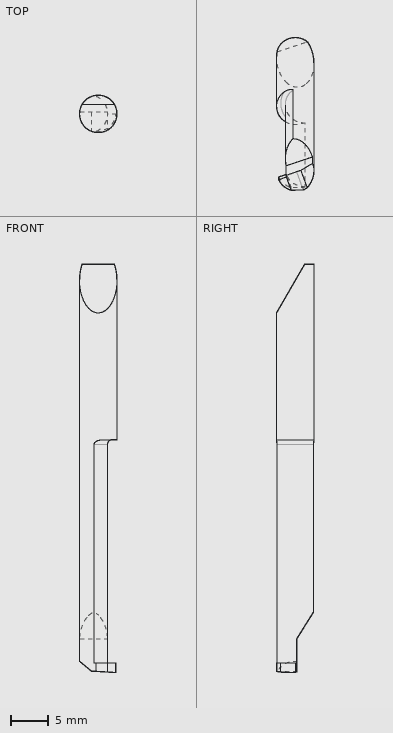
import cadquery as cq
import math

length = 54.5
shank_radius = 2.5
top_bevel_angle = 30.0
top_land_y = 1.25

neck_top = 31.05
neck_radius = 2.55
neck_right = 1.25
neck_axis_x = neck_right - neck_radius
neck_fillet = 0.6

head_top = 1.3
flank_start_x = -0.25
flank_end_y = -1.95
tip_bulge = (2.0, -1.1)
head_right = 2.35
bottom_rise = 0.15
rake_y = 0.0
bar_flat_y = 0.2
flat_top = 4.5
flat_ramp_angle = 32.0
corner_chamfer_x = 1.65
corner_chamfer_z = 1.35

margin = 1.1
reach = shank_radius + margin


def box_between(x0, x1, y0, y1, z0, z1):
    return cq.Workplane("XY").box(x1 - x0, y1 - y0, z1 - z0, centered=False).translate((x0, y0, z0))


def prism_along_x(points):
    """Prism of a (y, z) outline that spans the full width of the bar."""
    return cq.Workplane("YZ").polyline(points).close().extrude(reach, both=True)


def prism_along_y(points):
    """Prism of an (x, z) outline that spans the full depth of the bar."""
    return cq.Workplane("XZ").polyline(points).close().extrude(reach, both=True)


def round_blank():
    """Shank cylinder whose end face slopes down to the cutting corner."""
    blank = cq.Workplane("XY").circle(shank_radius).extrude(length)
    end_relief = prism_along_y([
        (head_right, 0),
        (flank_start_x, bottom_rise),
        (-reach, bottom_rise),
        (-reach, -margin),
        (head_right, -margin),
    ])
    return blank.cut(end_relief)


def top_bevel():
    drop = (top_land_y + reach) / math.tan(math.radians(top_bevel_angle))
    return prism_along_x([(top_land_y, length), (-reach, length), (-reach, length - drop)])


def neck_form():
    """Offset round of the neck, flaring out into the shoulder with a fillet."""
    flare_start = neck_top - neck_fillet
    arc_offset = neck_fillet * (1 - math.sqrt(0.5))
    return (
        cq.Workplane("XZ")
        .lineTo(neck_radius, 0)
        .lineTo(neck_radius, flare_start)
        .threePointArc(
            (neck_radius + arc_offset, neck_top - arc_offset),
            (neck_radius + neck_fillet, neck_top),
        )
        .lineTo(0, neck_top)
        .close()
        .revolve(360, (0, 0, 0), (0, 1, 0))
        .translate((neck_axis_x, 0, 0))
    )


def neck_relief():
    """Material beside the neck, leaving the front half of the cutting head."""
    surround = box_between(neck_axis_x, reach, -reach, reach, 0, neck_top)
    head = box_between(neck_axis_x, reach, -reach, bar_flat_y, 0, head_top)
    return surround.cut(neck_form()).cut(head)


def flank_relief():
    """Clearance around the head: a flat flank, then a curved one up to the cutting edge."""
    flank_start_y = -math.sqrt(shank_radius**2 - flank_start_x**2)
    return (
        cq.Workplane("XY")
        .moveTo(flank_start_x, flank_start_y)
        .lineTo(neck_right, flank_end_y)
        .threePointArc(tip_bulge, (head_right, rake_y))
        .lineTo(reach, rake_y)
        .lineTo(reach, -reach)
        .lineTo(flank_start_x, -reach)
        .close()
        .extrude(head_top)
    )


def flat_relief():
    """Flat behind the cutting head, with a ramp running out at the back."""
    ramp_height = (reach - bar_flat_y) / math.tan(math.radians(flat_ramp_angle))
    return prism_along_x([
        (bar_flat_y, -margin),
        (bar_flat_y, flat_top),
        (reach, flat_top + ramp_height),
        (reach, -margin),
    ])


def corner_chamfer():
    left = -shank_radius
    chamfer_top = bottom_rise + corner_chamfer_z
    return prism_along_y([
        (left, chamfer_top),
        (left + corner_chamfer_x, bottom_rise),
        (left + corner_chamfer_x, -margin),
        (left - margin, -margin),
        (left - margin, chamfer_top),
    ])


def make_bar():
    """Shank, neck and the part of the head that carries the tip."""
    tip_pocket = box_between(neck_right, reach, -reach, reach, -margin, head_top)
    return (
        round_blank()
        .cut(top_bevel())
        .cut(neck_relief())
        .cut(flank_relief().cut(neck_form()))
        .cut(flat_relief())
        .cut(corner_chamfer())
        .cut(tip_pocket)
    )


def make_cutting_tip():
    """Tip seated against the side of the head, with its corner at the lowest point."""
    envelope = box_between(neck_right, head_right, -reach, rake_y, 0, head_top)
    return round_blank().intersect(envelope).cut(flank_relief())


bar = make_bar()
cutting_tip = make_cutting_tip()

result = cq.Compound.makeCompound([bar.val(), cutting_tip.val()])